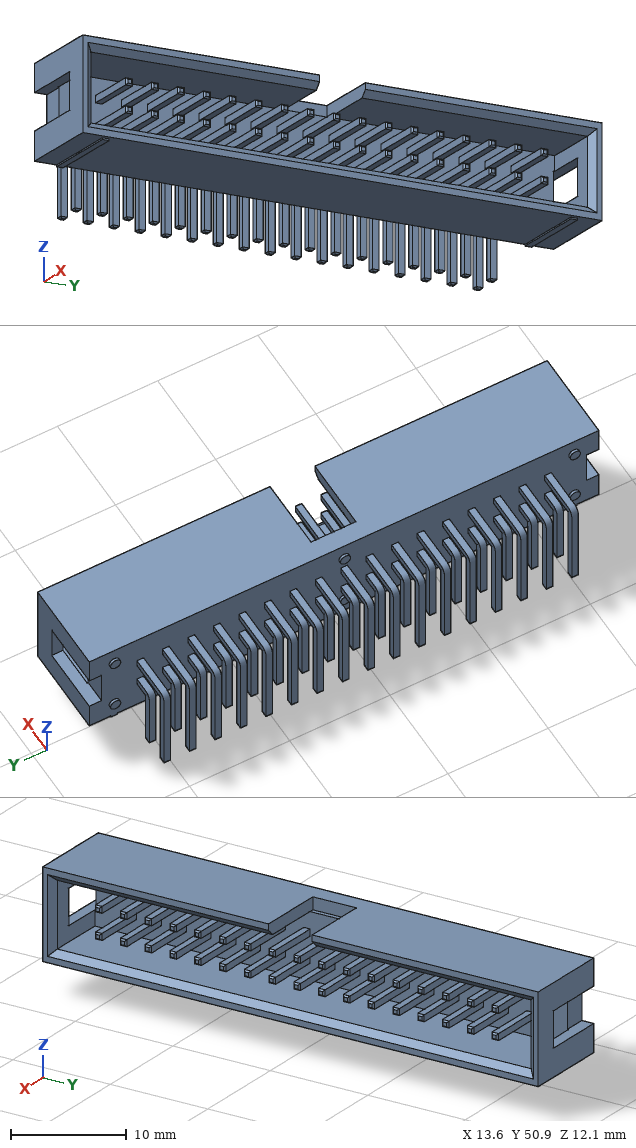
import cadquery as cq


shroud_length = 50.85
shroud_depth = 8.9
shroud_height = 8.9
rear_wall = 2.3
side_wall = 1.2
end_wall = 1.1
lip_chamfer = 0.6

end_slot_depth = 6.45
end_slot_inset = 1.2
end_slot_height = 3.5
end_slot_rise = 0.05

window_start = 1.85
window_width = 4.45

standoff_diameter = 1.0
standoff_height = 0.25
standoff_inset = 1.65
standoff_end_inset = 2.5
rib_length = 8.45
rib_width = 0.65
rib_height = 0.15

pin_columns = 17
pin_pitch = 2.55
pin_size = 0.65
pin_tip_chamfer = 0.15
pin_front = 8.0
overall_depth = 13.55
overall_height = 12.1

half_height = shroud_height / 2
half_pitch = pin_pitch / 2
outer_leg_x = shroud_depth - overall_depth + pin_size / 2
pin_bottom = half_height - overall_height
standoff_y = shroud_length / 2 - standoff_end_inset
standoff_z = half_height - standoff_inset


def box_from(x_start, length_x, width_y, height_z):
    """Box centred on Y and Z that starts at x_start and runs toward +X."""
    return (
        cq.Workplane("XY")
        .box(length_x, width_y, height_z, centered=(False, True, True))
        .translate((x_start, 0, 0))
    )


def make_shroud():
    """Open-fronted box with end slots and a keying window."""
    cavity_width = shroud_length - 2 * end_wall
    cavity_height = shroud_height - 2 * side_wall
    shroud = box_from(0, shroud_depth, shroud_length, shroud_height)
    shroud = shroud.cut(box_from(rear_wall, shroud_depth - rear_wall, cavity_width, cavity_height))

    lead_in = (
        cq.Workplane("YZ", origin=(shroud_depth, 0, 0))
        .rect(cavity_width + 2 * lip_chamfer, cavity_height + 2 * lip_chamfer)
        .workplane(offset=-lip_chamfer)
        .rect(cavity_width, cavity_height)
        .loft(ruled=True)
    )
    shroud = shroud.cut(lead_in)

    end_slot = box_from(0, end_slot_depth, 2 * end_slot_inset, end_slot_height)
    for end in (-1, 1):
        shroud = shroud.cut(end_slot.translate((0, end * shroud_length / 2, end_slot_rise)))

    window = box_from(window_start, shroud_depth - window_start, window_width, side_wall)
    return shroud.cut(window.translate((0, 0, half_height - side_wall / 2)))


def make_standoffs():
    """Six discs on the rear face, in an upper and a lower row."""
    centres = [(y, z) for y in (-standoff_y, 0, standoff_y) for z in (-standoff_z, standoff_z)]
    return cq.Workplane("YZ").pushPoints(centres).circle(standoff_diameter / 2).extrude(-standoff_height)


def make_ribs():
    """Two shallow ribs under the shroud, one near each end."""
    return (
        cq.Workplane("XY", origin=(rib_length / 2, 0, -half_height - rib_height))
        .pushPoints([(0, -standoff_y), (0, standoff_y)])
        .rect(rib_length, rib_width)
        .extrude(rib_height)
    )


def make_pin(leg_x, arm_z):
    """Bent square pin: a forward arm at arm_z and a downward leg at leg_x."""
    back_x = leg_x - pin_size / 2
    top_z = arm_z + pin_size / 2
    arm = box_from(back_x, pin_front - back_x, pin_size, pin_size).translate((0, 0, arm_z))
    arm = arm.faces(">X").chamfer(pin_tip_chamfer)
    leg = (
        cq.Workplane("XY", origin=(leg_x, 0, pin_bottom))
        .rect(pin_size, pin_size)
        .extrude(top_z - pin_bottom)
        .faces("<Z")
        .chamfer(pin_tip_chamfer)
    )
    bend_rounding = (
        cq.Workplane("XZ", origin=(back_x, pin_size / 2, top_z))
        .lineTo(pin_size, 0)
        .radiusArc((0, -pin_size), -pin_size)
        .close()
        .extrude(pin_size)
    )
    return arm.union(leg).cut(bend_rounding)


upper_pin = make_pin(outer_leg_x, half_pitch)
lower_pin = make_pin(outer_leg_x + pin_pitch, -half_pitch)

result = make_shroud().union(make_standoffs()).union(make_ribs())
for column in range(pin_columns):
    column_y = (column - (pin_columns - 1) / 2) * pin_pitch
    for pin in (upper_pin, lower_pin):
        result = result.union(pin.translate((0, column_y, 0)))